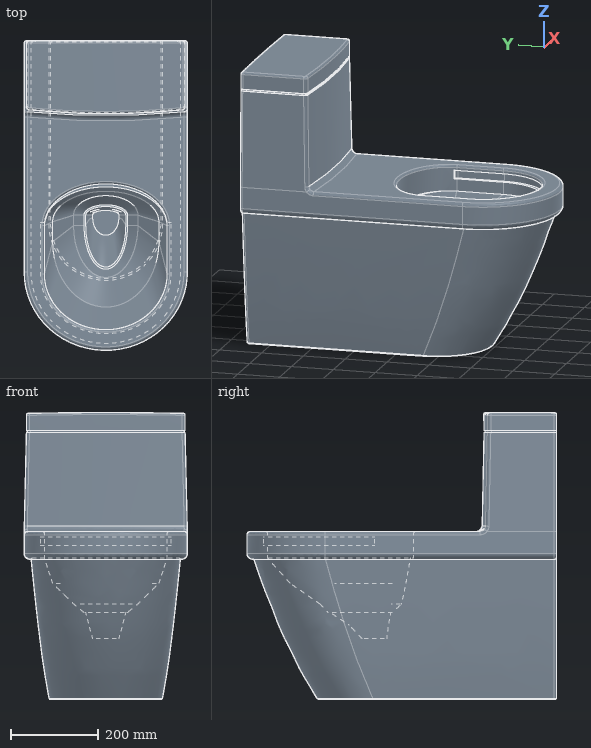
import cadquery as cq

WIDTH = 375.34
LENGTH = 711.6
HEIGHT = 659.59
HALF_WIDTH = WIDTH / 2
UP = cq.Vector(0, 0, 1)
PICK_MARGIN = 1.0

DECK_Z = 386.5
RIM_BOTTOM_Z = 322.0
RIM_FRONT_ARC_DEPTH = 180.0
RIM_UNDER_FILLET = 14.0
SKIRT_OVERLAP = 3.0

SKIRT_SECTIONS = [
    (0.0, 130.0, 549.0, 128.0),
    (100.0, 146.5, 606.0, 144.0),
    (210.0, 160.0, 655.0, 156.0),
    (RIM_BOTTOM_Z + SKIRT_OVERLAP, 172.0, LENGTH - 15.0, 165.0),
]
SKIRT_FOOT_CHAMFER = 3.0

SEAM_Z = 613.5
SEAM_HEIGHT = 4.0
SEAM_DEPTH = 2.0
TANK_BASE_DEPTH = 163.0
TANK_TOP_HALF_WIDTH = 182.5
TANK_TOP_DEPTH = 158.5
TANK_FRONT_BOW = 9.5
BACK_FILLET = 6.0
SIDE_EDGE_FILLET = 8.0
TANK_FOOT_FILLET = 12.0
LID_CROWN = 2.0
LID_EDGE_FILLET = 5.0

MOUTH_HALF_WIDTH = 141.0
MOUTH_BACK = 329.0
MOUTH_FRONT = 664.0
MOUTH_BACK_ARC = 96.0
MOUTH_FRONT_ARC = 128.0
MOUTH_EDGE_FILLET = 5.5
BOWL_TOP_Z = 325.0

BOWL_SECTIONS = [
    (BOWL_TOP_Z, MOUTH_HALF_WIDTH, 336.0, MOUTH_FRONT, 89.0, MOUTH_FRONT_ARC),
    (267.0, 122.0, 346.0, 612.0, 70.0, 150.0),
    (220.0, 74.0, 356.0, 544.0, 45.0, 119.0),
    (200.0, 50.0, 377.0, 525.0, 24.0, 100.0),
]

WELL_SECTIONS = [
    (200.0, 46.0, 381.0, 520.0, 20.0, 95.0),
    (165.0, 37.0, 387.0, 470.0, 14.0, 60.0),
    (140.0, 30.0, 390.0, 447.0, 10.0, 40.0),
]

CHANNEL_DEPTH = 9.0
CHANNEL_HEIGHT = 20.0
CHANNEL_TOP_Z = 374.0
CHANNEL_BACK = 418.0


def half_ellipse(half_width, depth, y, z, toward_back):
    """Half ellipse closing an outline, spanning x = -half_width..half_width."""
    center = cq.Vector(0, y, z)
    start = 0 if toward_back else 180
    if half_width >= depth:
        return cq.Edge.makeEllipse(
            half_width, depth, center, UP, cq.Vector(1, 0, 0), start, start + 180)
    return cq.Edge.makeEllipse(
        depth, half_width, center, UP, cq.Vector(0, -1, 0), start + 90, start + 270)


def skirt_wire(z, half_width, front, arc_depth):
    """D outline: straight back on the wall, parallel sides and a rounded front."""
    shoulder = -(front - arc_depth)
    back_left, back_right = cq.Vector(-half_width, 0, z), cq.Vector(half_width, 0, z)
    front_left, front_right = cq.Vector(-half_width, shoulder, z), cq.Vector(half_width, shoulder, z)
    return cq.Wire.assembleEdges([
        cq.Edge.makeLine(back_right, back_left),
        cq.Edge.makeLine(back_left, front_left),
        half_ellipse(half_width, arc_depth, shoulder, z, False),
        cq.Edge.makeLine(front_right, back_right),
    ])


def oval_wire(z, half_width, back, front, back_arc, front_arc):
    """Oval outline: two straight sides joined by half ellipses of their own depth."""
    back_y = -(back + back_arc)
    front_y = -(front - front_arc)
    return cq.Wire.assembleEdges([
        half_ellipse(half_width, back_arc, back_y, z, True),
        cq.Edge.makeLine(cq.Vector(-half_width, back_y, z), cq.Vector(-half_width, front_y, z)),
        half_ellipse(half_width, front_arc, front_y, z, False),
        cq.Edge.makeLine(cq.Vector(half_width, front_y, z), cq.Vector(half_width, back_y, z)),
    ])


def prism(wire, height):
    face = cq.Face.makeFromWires(wire)
    return cq.Workplane(cq.Solid.extrudeLinear(face, cq.Vector(0, 0, height)))


def loft(wires, ruled=False):
    return cq.Workplane(cq.Solid.makeLoft(wires, ruled))


def is_upright(edge):
    box = edge.BoundingBox()
    return box.zlen > max(box.xlen, box.ylen)


def outline_edges_ahead_of_wall(body, z):
    """Horizontal edges at height z, leaving out those lying in the wall plane."""
    region = cq.selectors.BoxSelector(
        (-WIDTH, -LENGTH, z - PICK_MARGIN), (WIDTH, -PICK_MARGIN, z + PICK_MARGIN))
    return body.edges(region)


def round_back_corners(body):
    """Round the upright corners that touch the wall."""
    corners = [
        edge for edge in body.edges().vals()
        if is_upright(edge) and edge.Center().y > -PICK_MARGIN
    ]
    return body.newObject(corners).fillet(BACK_FILLET)


def round_uprights(block):
    """Round the four standing corners of a cistern block."""
    front = [
        edge for edge in block.edges().vals()
        if is_upright(edge) and edge.Center().y < -PICK_MARGIN
    ]
    return round_back_corners(block.newObject(front).fillet(SIDE_EDGE_FILLET))


def make_skirt():
    skirt = loft([skirt_wire(*section) for section in SKIRT_SECTIONS])
    skirt = round_back_corners(skirt)
    return outline_edges_ahead_of_wall(skirt, 0).chamfer(SKIRT_FOOT_CHAMFER)


def tank_wire(z, half_width, depth):
    """Cistern outline: flat back and sides, gently bowed front."""
    return (
        cq.Workplane("XY", origin=(0, 0, z))
        .moveTo(half_width, 0)
        .lineTo(-half_width, 0)
        .lineTo(-half_width, -depth)
        .threePointArc((0, -(depth + TANK_FRONT_BOW)), (half_width, -depth))
        .close()
        .wires().val()
    )


def make_rim_and_tank():
    """Rim slab and cistern in one piece, with a cove between cistern front and deck."""
    rim = prism(skirt_wire(RIM_BOTTOM_Z, HALF_WIDTH, LENGTH, RIM_FRONT_ARC_DEPTH),
                DECK_Z - RIM_BOTTOM_Z)
    tank = loft([
        tank_wire(DECK_Z, HALF_WIDTH, TANK_BASE_DEPTH),
        tank_wire(SEAM_Z, TANK_TOP_HALF_WIDTH, TANK_TOP_DEPTH),
    ], True)
    block = rim.union(tank)
    foot_y = -(TANK_BASE_DEPTH + TANK_FRONT_BOW)
    foot_edge = cq.selectors.NearestToPointSelector((0, foot_y, DECK_Z))
    block = block.edges(foot_edge).fillet(TANK_FOOT_FILLET)

    ahead_of_wall = cq.selectors.BoxSelector(
        (-WIDTH, -LENGTH, DECK_Z - PICK_MARGIN),
        (WIDTH, -TANK_TOP_DEPTH / 2, SEAM_Z - PICK_MARGIN))
    side_x = TANK_TOP_HALF_WIDTH - PICK_MARGIN
    front_y = -(LENGTH - RIM_FRONT_ARC_DEPTH)
    side_edges = [
        edge for edge in block.edges(ahead_of_wall).vals()
        if abs(edge.Center().x) > side_x or edge.Center().y < front_y
    ]
    block = block.newObject(side_edges).fillet(SIDE_EDGE_FILLET)
    block = cq.Workplane(block.val().fix())
    block = outline_edges_ahead_of_wall(block, RIM_BOTTOM_Z).fillet(RIM_UNDER_FILLET)
    return round_back_corners(block)


def make_seam():
    """Recessed neck between the cistern and its lid."""
    neck = tank_wire(SEAM_Z, TANK_TOP_HALF_WIDTH - SEAM_DEPTH, TANK_TOP_DEPTH - SEAM_DEPTH)
    return round_uprights(prism(neck, SEAM_HEIGHT))


def make_lid():
    """Lid with a slightly crowned top and a rounded rim."""
    base_z = SEAM_Z + SEAM_HEIGHT
    outline = prism(tank_wire(base_z, TANK_TOP_HALF_WIDTH, TANK_TOP_DEPTH), HEIGHT - base_z)
    crown_edge_z = HEIGHT - LID_CROWN
    crown = (
        cq.Workplane("XZ")
        .moveTo(-HALF_WIDTH, base_z)
        .lineTo(HALF_WIDTH, base_z)
        .lineTo(HALF_WIDTH, crown_edge_z)
        .threePointArc((0, HEIGHT), (-HALF_WIDTH, crown_edge_z))
        .close()
        .extrude(LENGTH)
    )
    lid = round_uprights(outline).intersect(crown)
    return lid.faces(">Z").edges().fillet(LID_EDGE_FILLET)


def make_opening():
    """Straight-walled opening in the deck, with a rounded upper edge."""
    sizes = (MOUTH_HALF_WIDTH, MOUTH_BACK, MOUTH_FRONT, MOUTH_BACK_ARC, MOUTH_FRONT_ARC)
    return prism(oval_wire(BOWL_TOP_Z, *sizes), DECK_Z - BOWL_TOP_Z)


def make_channel():
    """Flushing channel under the rim, following the sides and front of the opening."""
    grow = CHANNEL_DEPTH
    ring = prism(oval_wire(CHANNEL_TOP_Z - CHANNEL_HEIGHT, MOUTH_HALF_WIDTH + grow, MOUTH_BACK - grow,
                           MOUTH_FRONT + grow, MOUTH_BACK_ARC + grow, MOUTH_FRONT_ARC + grow),
                 CHANNEL_HEIGHT)
    front_part = cq.Workplane("XY").box(WIDTH, LENGTH, HEIGHT, centered=(True, False, False))
    return ring.intersect(front_part.translate((0, -LENGTH - CHANNEL_BACK, 0)))


def make_bowl():
    return loft([oval_wire(*section) for section in BOWL_SECTIONS], True)


def make_well():
    """Outlet well whose front wall slopes back as it goes down."""
    return loft([oval_wire(*section) for section in WELL_SECTIONS])


def round_opening_edge(body):
    reach = MOUTH_HALF_WIDTH + PICK_MARGIN
    edge = cq.selectors.BoxSelector(
        (-reach, -MOUTH_FRONT - PICK_MARGIN, DECK_Z - PICK_MARGIN),
        (reach, -MOUTH_BACK + PICK_MARGIN, DECK_Z + PICK_MARGIN), boundingbox=True)
    return body.edges(edge).fillet(MOUTH_EDGE_FILLET)


body = make_rim_and_tank().union(make_skirt())
body = round_opening_edge(body.cut(make_opening()))
body = body.cut(make_channel()).cut(make_bowl()).cut(make_well())
result = body.union(make_seam()).union(make_lid())